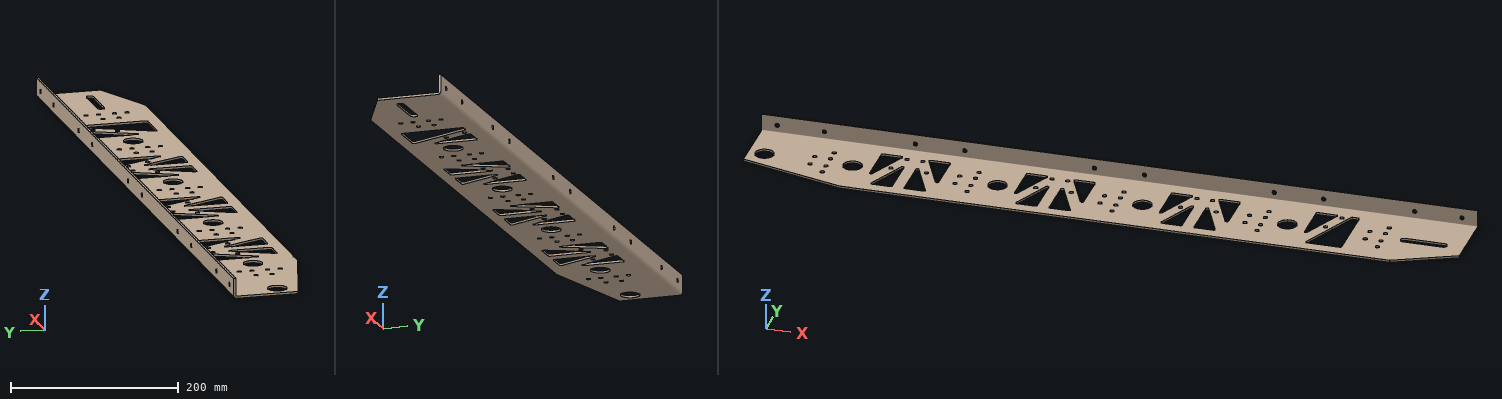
import cadquery as cq
import math

length = 890.0
width = 115.0
height = 25.0
thickness = 3.0
bend_radius = 1.0

end_depth = 80.0
left_taper_end = 130.0
right_taper_start = 813.5

full_bay_count = 3
pitch_span = 540.0
pitch = pitch_span / full_bay_count
center_y = 55.0

big_hole_diameter = 23.0
end_hole_x = 20.5
first_big_hole_x = 130.0
big_hole_count = full_bay_count + 1

small_hole_diameter = 4.9
first_pattern_x = 100.0
pattern_count = full_bay_count + 1
last_pattern_x = 789.0
pattern_row_gap = 20.0
inner_hole_spacing = 20.0
outer_hole_spacing = 51.0

first_bay_x = 198.0
window_half_height = 39.0
bay_half_width = 43.0
post_half_width = 7.6
strut_angle = math.radians(65.5)
strut_width = 15.0
corner_radius = 2.0
end_window_reach = 11.0
strut_hole_offsets = (6.7, 34.0)

slot_left = 811.0
slot_right = 869.0
slot_width = 9.0

flange_hole_offsets = (31.0, 192.0, 254.0, 367.0, 425.0)

window_top = center_y + window_half_height
window_bottom = center_y - window_half_height
strut_offset = (bay_half_width + post_half_width) / 2
edge_shift = strut_width / 2 / math.sin(strut_angle)


def strut_x(y):
    """Distance from the bay axis to the strut centre line, negative on the left."""
    return -strut_offset + (y - center_y) / math.tan(strut_angle)


def strut_y(x):
    """Y position where the strut centre line reaches a distance from the bay axis."""
    return center_y + (x + strut_offset) * math.tan(strut_angle)


def window(points, bay_x, side=1):
    """Round-cornered cutter; side -1 mirrors the points about the bay axis."""
    placed = [(bay_x + side * x, y) for x, y in points]
    return (
        cq.Workplane("XY").polyline(placed).close().extrude(thickness)
        .edges("|Z").fillet(corner_radius)
    )


def drill(body, centers, diameter):
    """Cut round holes through the base plate."""
    return body.cut(
        cq.Workplane("XY").pushPoints(centers).circle(diameter / 2).extrude(thickness)
    )


def mounting_pattern(x):
    """Column of four holes with a shorter column of two on its left."""
    inner = (-inner_hole_spacing / 2, inner_hole_spacing / 2)
    column = inner + (-outer_hole_spacing / 2, outer_hole_spacing / 2)
    right_column = [(x, center_y + dy) for dy in column]
    left_column = [(x - pattern_row_gap, center_y + dy) for dy in inner]
    return right_column + left_column


def strut_holes(bay_x, side):
    """Two holes on the centre line of one strut."""
    hole_ys = [center_y + dy for dy in strut_hole_offsets]
    return [(bay_x + side * strut_x(y), y) for y in hole_ys]


front_corner_y = width - end_depth
plate_outline = [
    (0, width),
    (0, front_corner_y),
    (left_taper_end, 0),
    (right_taper_start, 0),
    (length, front_corner_y),
    (length, width),
]
plate = cq.Workplane("XY").polyline(plate_outline).close().extrude(thickness)

flange = cq.Workplane("XY").box(length, thickness, height, centered=False)
rail = plate.union(flange.translate((0, width - thickness, 0)))

inner_corner = cq.NearestToPointSelector((length / 2, width - thickness, thickness))
outer_corner = cq.NearestToPointSelector((length / 2, width, 0))
rail = rail.edges(inner_corner).fillet(bend_radius)
rail = rail.edges(outer_corner).fillet(bend_radius + thickness)

upper_window = [
    (-bay_half_width, window_top),
    (strut_x(window_top) - edge_shift, window_top),
    (-bay_half_width, strut_y(-bay_half_width + edge_shift)),
]
lower_window = [
    (-post_half_width, window_bottom),
    (strut_x(window_bottom) + edge_shift, window_bottom),
    (-post_half_width, strut_y(-post_half_width - edge_shift)),
]
small_hole_centers = []
for bay in range(full_bay_count):
    bay_x = first_bay_x + bay * pitch
    for side in (1, -1):
        rail = rail.cut(window(upper_window, bay_x, side))
        rail = rail.cut(window(lower_window, bay_x, side))
        small_hole_centers += strut_holes(bay_x, side)

last_bay_x = first_bay_x + full_bay_count * pitch
end_window = [
    (end_window_reach, window_bottom),
    (strut_x(window_bottom) + edge_shift, window_bottom),
    (strut_x(window_top) + edge_shift, window_top),
    (end_window_reach, window_top),
]
rail = rail.cut(window(upper_window, last_bay_x))
rail = rail.cut(window(end_window, last_bay_x))
small_hole_centers += strut_holes(last_bay_x, 1)

for index in range(pattern_count):
    small_hole_centers += mounting_pattern(first_pattern_x + index * pitch)
small_hole_centers += mounting_pattern(last_pattern_x)
rail = drill(rail, small_hole_centers, small_hole_diameter)

big_hole_xs = [end_hole_x]
big_hole_xs += [first_big_hole_x + index * pitch for index in range(big_hole_count)]
rail = drill(rail, [(x, center_y) for x in big_hole_xs], big_hole_diameter)

slot = (
    cq.Workplane("XY").center((slot_left + slot_right) / 2, center_y)
    .slot2D(slot_right - slot_left, slot_width).extrude(thickness)
)
rail = rail.cut(slot)

flange_hole_centers = [
    (length / 2 + side * offset, height / 2)
    for offset in flange_hole_offsets
    for side in (1, -1)
]
flange_holes = (
    cq.Workplane("XZ", origin=(0, width, 0)).pushPoints(flange_hole_centers)
    .circle(small_hole_diameter / 2).extrude(thickness)
)
result = rail.cut(flange_holes)